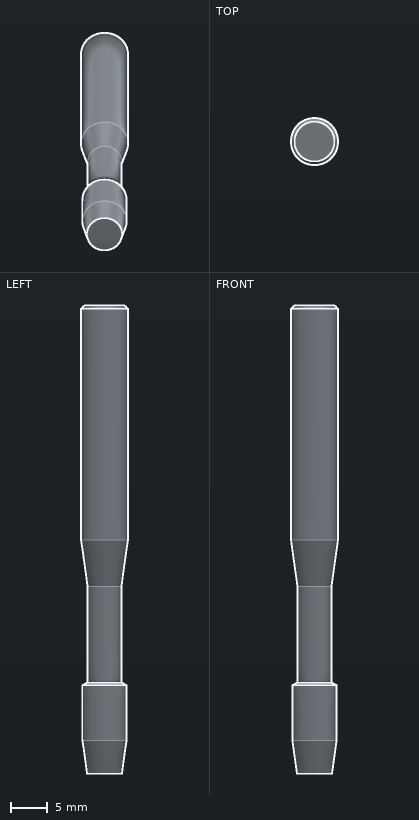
import cadquery as cq

total_length = 63.5
shank_bottom = 31.75
neck_top = 25.4
head_top = 12.4
head_chamfer_height = 0.4
tip_taper_height = 4.6
shank_chamfer = 0.5

shank_radius = 6.4 / 2
neck_radius = 4.65 / 2
head_radius = 6.05 / 2
tip_radius = 4.75 / 2


def turned_body(profile):
    """Revolve a closed (radius, height) profile around the Z axis."""
    return cq.Workplane("XZ").polyline(profile).close().revolve(360, (0, 0, 0), (0, 1, 0))


def make_shank():
    """Chamfered shank that tapers down to a slim neck, ending on top of the head."""
    return turned_body([
        (0, head_top),
        (neck_radius, head_top),
        (neck_radius, neck_top),
        (shank_radius, shank_bottom),
        (shank_radius, total_length - shank_chamfer),
        (shank_radius - shank_chamfer, total_length),
        (0, total_length),
    ])


def make_head():
    """Cylindrical head with a tapered tip and a top edge chamfered in to the neck."""
    return turned_body([
        (0, 0),
        (tip_radius, 0),
        (head_radius, tip_taper_height),
        (head_radius, head_top - head_chamfer_height),
        (neck_radius, head_top),
        (0, head_top),
    ])


shank = make_shank()
head = make_head()

result = cq.Compound.makeCompound([shank.val(), head.val()])